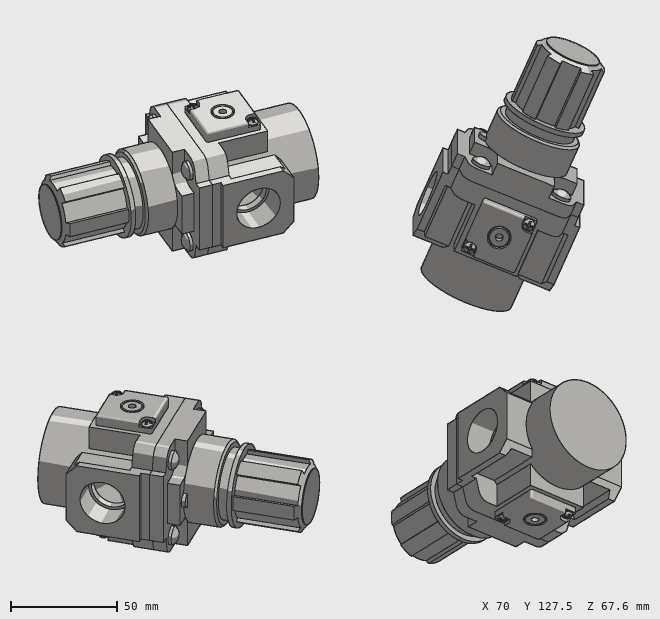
import cadquery as cq
import math


back_y = 35.7
port_back_y = 18.0
waist_back_y = 12.6
ear_back_y = -12.4
port_front_y = -18.1
joint_y = -22.5
flange_front_y = -29.2
pad_front_y = -35.5
collar_front_y = -51.5
ring_back_y = -56.5
ring_front_y = -58.8
knob_front_y = back_y - 127.5

overall_width = 70.0
port_half_height = 18.0
half_height = 28.5
barrel_radius = 23.2
waist_half_width = 16.1
valley_floor_z = 15.0
valley_outer_x = 31.4
valley_floor_x = 29.8
port_radius = 11.1
port_depth = 13.4
drill_radius = 9.7
drill_straight_length = 3.8
drill_tip_length = 5.6

side_half_width = 32.4
ear_foot_x = 28.5
ear_corner_x = 25.9
ear_radius = 5.7

pad_half_width = 26.3
pad_half_height = 11.0
column_half_width = 14.5
pad_corner_radius = 6.5
collar_radius = 21.0
collar_chamfer = 1.1
stop_pin_x = -20.9
stop_pin_radius = 3.5
stop_pin_length = 1.9
screw_offset = 20.5
screw_head_radius = 4.6
screw_rim_height = 1.5
screw_head_height = 3.7

rib_count = 6
rib_angle = 25.0
rib_radius = 17.5
grip_radius = 15.5
ring_radius = 20.1
tip_radius = 13.5
tip_length = 0.5
tip_cone_length = 2.4

cover_width = 27.3
cover_length = 27.7
cover_center_y = -3.6
cover_top_z = 33.8
cover_edge_radius = 1.0
pocket_size = 6.2
pocket_depth = 2.3
cover_screw_radius = 2.8
cover_screw_rim = 0.4
cover_screw_height = 2.3
cross_length = 4.3
cross_width = 0.8
cross_depth = 1.0
groove_outer_radius = 5.6
groove_inner_radius = 4.6
groove_depth = 0.6
vent_radius = 1.8
vent_depth = 3.8


def section_at(y):
    """Workplane across the knob axis; extruding from it goes toward -Y."""
    return cq.Workplane("XZ", origin=(0, y, 0))


def block(half_width, half_height, y_back, y_front):
    """Box centred on the knob axis."""
    return section_at(y_back).rect(2 * half_width, 2 * half_height).extrude(y_back - y_front)


def cylinder(radius, y_back, y_front):
    """Cylinder on the knob axis."""
    return section_at(y_back).circle(radius).extrude(y_back - y_front)


def eared_block(y_back, y_front):
    """Side slab with two rounded ears above it and two below."""
    ears = (
        section_at(y_back)
        .polyline([
            (ear_foot_x, port_half_height),
            (ear_corner_x, half_height),
            (-ear_corner_x, half_height),
            (-ear_foot_x, port_half_height),
            (-ear_foot_x, -port_half_height),
            (-ear_corner_x, -half_height),
            (ear_corner_x, -half_height),
            (ear_foot_x, -port_half_height),
        ])
        .close()
        .extrude(y_back - y_front)
        .edges("|Y")
        .edges(">Z or <Z")
        .fillet(ear_radius)
    )
    return ears.union(block(side_half_width, port_half_height, y_back, y_front))


def domed_head(radius, rim_height, height):
    """Screw head with a straight rim and a round top, standing on the XY plane."""
    dome_height = height - rim_height
    dome_radius = (radius**2 + dome_height**2) / (2 * dome_height)
    mid_radius = radius / 2
    mid_height = height - dome_radius + math.sqrt(dome_radius**2 - mid_radius**2)
    return (
        cq.Workplane("XZ")
        .lineTo(radius, 0)
        .lineTo(radius, rim_height)
        .threePointArc((mid_radius, mid_height), (0, height))
        .close()
        .revolve(360, (0, 0, 0), (0, 1, 0))
    )


def make_housing():
    chamfer = port_back_y - waist_back_y
    ports = (
        block(overall_width / 2, port_half_height, port_back_y, port_front_y)
        .faces(">Y")
        .edges("|X")
        .chamfer(chamfer)
    )

    for x_side in (-1, 1):
        for z_side in (-1, 1):
            valley = (
                section_at(port_back_y)
                .polyline([
                    (0, z_side * valley_floor_z),
                    (x_side * valley_floor_x, z_side * valley_floor_z),
                    (x_side * valley_outer_x, z_side * port_half_height),
                    (0, z_side * port_half_height),
                ])
                .close()
                .extrude(port_back_y - ear_back_y)
            )
            ports = ports.cut(valley)

    housing = (
        ports.union(cylinder(barrel_radius, back_y, ear_back_y))
        .union(block(waist_half_width, half_height, waist_back_y, ear_back_y))
        .union(eared_block(ear_back_y, joint_y))
    )

    tip_start = port_depth + drill_straight_length
    port = (
        cq.Workplane("XY", origin=(-overall_width / 2, 0, 0))
        .lineTo(0, port_radius)
        .lineTo(port_depth, port_radius)
        .lineTo(port_depth, drill_radius)
        .lineTo(tip_start, drill_radius)
        .lineTo(tip_start + drill_tip_length, 0)
        .close()
        .revolve(360, (0, 0, 0), (1, 0, 0))
    )
    return housing.cut(port).cut(port.mirror("YZ"))


def make_bonnet():
    column = block(column_half_width, half_height, flange_front_y, pad_front_y)
    arms = block(pad_half_width, pad_half_height, flange_front_y, pad_front_y)
    inner_corners = cq.selectors.BoxSelector(
        (-column_half_width - 1.3, pad_front_y - 1.3, -pad_half_height - 1.3),
        (column_half_width + 1.3, flange_front_y + 1.3, pad_half_height + 1.3),
    )
    pad = column.union(arms).edges("|Y").edges(inner_corners).fillet(pad_corner_radius)

    collar = (
        cylinder(collar_radius, pad_front_y, collar_front_y)
        .faces("<Y")
        .chamfer(collar_chamfer)
    )
    stop_pin = (
        section_at(pad_front_y)
        .center(stop_pin_x, 0)
        .circle(stop_pin_radius)
        .extrude(stop_pin_length)
    )
    bonnet = eared_block(joint_y, flange_front_y).union(pad).union(collar).union(stop_pin)

    head = domed_head(screw_head_radius, screw_rim_height, screw_head_height).rotate(
        (0, 0, 0), (1, 0, 0), 90
    )
    for x in (-screw_offset, screw_offset):
        for z in (-screw_offset, screw_offset):
            bonnet = bonnet.union(head.translate((x, flange_front_y, z)))
    return bonnet


def make_knob():
    half_angle = math.radians(rib_angle / 2)
    reach = 2 * rib_radius
    sector = (
        section_at(ring_front_y)
        .polyline([
            (0, 0),
            (reach * math.cos(half_angle), reach * math.sin(half_angle)),
            (reach * math.cos(half_angle), -reach * math.sin(half_angle)),
        ])
        .close()
        .extrude(ring_front_y - knob_front_y)
    )
    grip = cylinder(grip_radius, ring_front_y, knob_front_y)
    rib_stock = cylinder(rib_radius, ring_front_y, knob_front_y)
    for i in range(rib_count):
        turned_sector = sector.rotate((0, 0, 0), (0, 1, 0), i * 360 / rib_count)
        grip = grip.union(rib_stock.intersect(turned_sector))

    cone_front_y = knob_front_y + tip_length
    envelope = (
        cq.Workplane("XY")
        .moveTo(0, ring_front_y)
        .lineTo(rib_radius, ring_front_y)
        .lineTo(rib_radius, cone_front_y + tip_cone_length)
        .lineTo(tip_radius, cone_front_y)
        .lineTo(tip_radius, knob_front_y)
        .lineTo(0, knob_front_y)
        .close()
        .revolve(360, (0, 0, 0), (0, 1, 0))
    )
    neck = cylinder(rib_radius, collar_front_y, ring_back_y)
    ring = cylinder(ring_radius, ring_back_y, ring_front_y)
    return grip.intersect(envelope).union(ring).union(neck)


def make_cover():
    """Cover plate on top of the housing, with a cross-head screw in two opposite corners."""
    cover = (
        cq.Workplane("XY", origin=(0, cover_center_y, half_height))
        .rect(cover_width, cover_length)
        .extrude(cover_top_z - half_height)
        .edges("|Z or >Z")
        .fillet(cover_edge_radius)
    )

    groove = (
        cq.Workplane("XZ", origin=(0, cover_center_y, cover_top_z))
        .moveTo(groove_inner_radius, 0)
        .lineTo((groove_inner_radius + groove_outer_radius) / 2, -groove_depth)
        .lineTo(groove_outer_radius, 0)
        .close()
        .revolve(360, (0, 0, 0), (0, 1, 0))
    )
    vent = (
        cq.Workplane("XY", origin=(0, cover_center_y, cover_top_z))
        .circle(vent_radius)
        .extrude(-vent_depth)
    )
    cover = cover.cut(groove).cut(vent)

    pocket_floor_z = cover_top_z - pocket_depth
    pocket_radius = pocket_size / 2
    screw = domed_head(cover_screw_radius, cover_screw_rim, cover_screw_height)
    for length, width in ((cross_length, cross_width), (cross_width, cross_length)):
        slot = (
            cq.Workplane("XY", origin=(0, 0, cover_screw_height))
            .rect(length, width)
            .extrude(-cross_depth)
        )
        screw = screw.cut(slot)
    for side in (-1, 1):
        inner_corner = "<X and <Y" if side > 0 else ">X and >Y"
        x = side * (cover_width / 2 - pocket_radius)
        y = cover_center_y + side * (cover_length / 2 - pocket_radius)
        pocket = (
            cq.Workplane("XY", origin=(x, y, pocket_floor_z))
            .rect(pocket_size, pocket_size)
            .extrude(pocket_depth)
            .edges("|Z")
            .edges(inner_corner)
            .fillet(pocket_radius)
        )
        cover = cover.cut(pocket).union(screw.translate((x, y, pocket_floor_z)))
    return cover


housing = make_housing()
bonnet = make_bonnet()
knob = make_knob()
covers = [make_cover().rotate((0, 0, 0), (0, 1, 0), angle) for angle in (0, 180)]

result = cq.Compound.makeCompound(
    [housing.val(), bonnet.val(), knob.val(), *[cover.val() for cover in covers]]
)